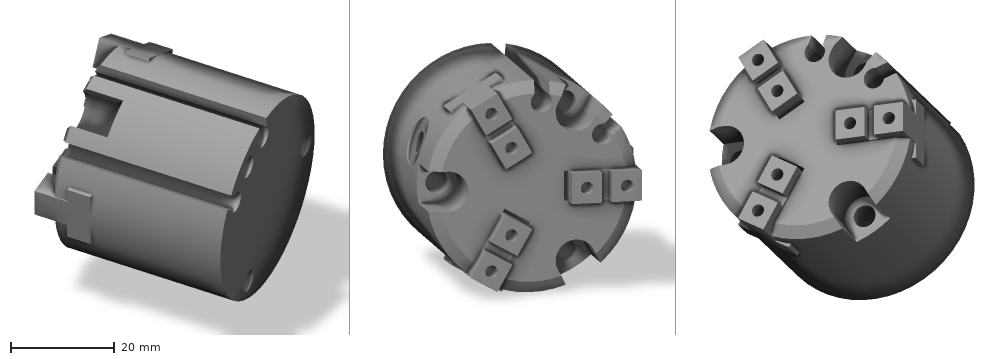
import cadquery as cq
import math

overall_length = 40.0
overall_height = 42.35
jaw_count = 3
jaw_step_angle = 360.0 / jaw_count

body_radius = 20.97
jaw_protrusion = 3.0
body_length = overall_length - jaw_protrusion
chamfer_radial = 2.37
chamfer_face_angle = 30.0
chamfer_axial = chamfer_radial * math.tan(math.radians(chamfer_face_angle))

mount_circle_radius = 17.0
mount_hole_diameter = 4.5
pocket_width = 8.0
pocket_depth = 9.25

groove_diameter = 4.2
groove_neck_width = 3.0
groove_hole_angle = 60.0
groove_spread_angle = 24.5

jaw_outer = body_radius
jaw_inner = 7.0
jaw_stem_width = 6.0
jaw_bar_start = 4.05
jaw_bar_thickness = 5.0
jaw_bar_end = jaw_bar_start + jaw_bar_thickness
jaw_tilt = math.radians(jaw_step_angle / 2)
jaw_bar_width = 2 * (overall_height / 2 - jaw_outer * math.sin(jaw_tilt)) / math.cos(jaw_tilt)
slot_inner = 6.2
slot_depth = jaw_bar_end

jaw_groove_start = 12.95
jaw_groove_width = 2.0
jaw_groove_depth = 2.5
jaw_hole_diameter = 2.5
jaw_hole_positions = (10.0, 18.0)
jaw_hole_depth = 5.0
drill_point_angle = 118.0

port_angle = 20.0
port_position = 15.0
port_flat_distance = 20.3
spotface_diameter = 10.0
port_diameter = 4.2
port_depth = 8.47


def box(x_range, y_range, width):
    """Block spanning the given X and Y ranges, centred on Z = 0."""
    (x0, x1), (y0, y1) = x_range, y_range
    block = cq.Workplane("XY").box(x1 - x0, y1 - y0, width, centered=(False, False, True))
    return block.translate((x0, y0, 0))


def cylinder(x_start, x_end, y, diameter):
    """Cylinder parallel to X, at height Z = 0."""
    return cq.Workplane("YZ", origin=(x_start, y, 0)).circle(diameter / 2).extrude(x_end - x_start)


def turn(shape, angle):
    """Rotate about the X axis; positive angles move +Y towards +Z."""
    return shape.rotate((0, 0, 0), (1, 0, 0), angle)


def make_body():
    body = cylinder(0, body_length, 0, 2 * body_radius)
    return body.faces("<X").chamfer(chamfer_axial, chamfer_radial)


def make_mount_cut():
    """Through hole and open U pocket, on the +Y side."""
    hole = cylinder(0, body_length, mount_circle_radius, mount_hole_diameter)
    pocket_end = cylinder(0, pocket_depth, mount_circle_radius, pocket_width)
    pocket_mouth = box((0, pocket_depth), (mount_circle_radius, 2 * body_radius), pocket_width)
    return hole.union(pocket_end).union(pocket_mouth)


def make_sensor_groove():
    """Keyhole groove along the body, on the -Y side."""
    bottom = cylinder(0, body_length, -mount_circle_radius, groove_diameter)
    neck = box((0, body_length), (-2 * body_radius, -mount_circle_radius), groove_neck_width)
    return bottom.union(neck)


def make_jaw():
    """T jaw on the -Y side, sliding radially."""
    stem = box((-jaw_protrusion, jaw_bar_end), (-jaw_outer, -jaw_inner), jaw_stem_width)
    bar = box((jaw_bar_start, jaw_bar_end), (-jaw_outer, -jaw_inner), jaw_bar_width)
    return stem.union(bar)


def make_jaw_slot():
    """Sliver of open guide slot ahead of the jaw's inner end."""
    return box((0, slot_depth), (-jaw_inner, -slot_inner), jaw_stem_width)


def make_jaw_cut():
    """Cross groove and two drilled holes in the tip of the jaw."""
    groove_range = (-jaw_groove_start - jaw_groove_width, -jaw_groove_start)
    cut = box((-jaw_protrusion, jaw_groove_depth - jaw_protrusion), groove_range, jaw_stem_width)
    hole_radius = jaw_hole_diameter / 2
    point_length = hole_radius / math.tan(math.radians(drill_point_angle / 2))
    for position in jaw_hole_positions:
        drill = (
            cq.Workplane("XY")
            .polyline([
                (0, 0),
                (jaw_hole_depth + point_length, 0),
                (jaw_hole_depth, hole_radius),
                (0, hole_radius),
            ])
            .close()
            .revolve(360, (0, 0, 0), (1, 0, 0))
            .translate((-jaw_protrusion, -position, 0))
        )
        cut = cut.union(drill)
    return cut


def make_port():
    """Blind hole with a flat spotface, pointing along +Y before it is turned."""
    plane = cq.Plane(origin=(port_position, port_flat_distance, 0), xDir=(1, 0, 0), normal=(0, 1, 0))
    spotface = cq.Workplane(plane).circle(spotface_diameter / 2).extrude(body_radius)
    hole = cq.Workplane(plane).circle(port_diameter / 2).extrude(-port_depth)
    return turn(spotface.union(hole), port_angle)


result = make_body()

for index in range(jaw_count):
    angle = index * jaw_step_angle
    result = result.union(turn(make_jaw(), angle))
    result = result.cut(turn(make_jaw_slot(), angle))
    result = result.cut(turn(make_jaw_cut(), angle))
    result = result.cut(turn(make_mount_cut(), angle))

for offset in (-groove_spread_angle, groove_spread_angle):
    result = result.cut(turn(make_sensor_groove(), offset - groove_hole_angle))

result = result.cut(make_port())